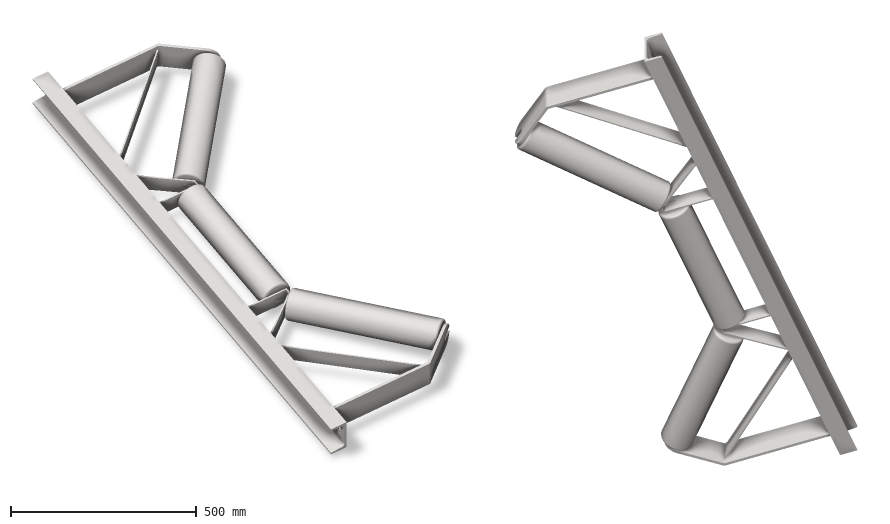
import cadquery as cq
import math

BEAM_LENGTH = 1500.0
BEAM_HEIGHT = 100.0
BEAM_DEPTH = 50.0
WEB = 6.0
FLANGE_ROOT = 10.0
FLANGE_TIP = 6.3
ROOT_RADIUS = 8.0
TIP_RADIUS = 3.8
SLOT_WIDTH = 18.0
SLOT_LENGTH = 33.0
SLOT_FROM_END = 30.0

ROLLER_DIAMETER = 90.0
ROLLER_LENGTH = 429.0
ROLLER_EDGE_RADIUS = 6.0
SHAFT = 18.0
SHAFT_STUB = 9.0
CENTRE_ROLLER_Y = 166.0
CENTRE_ROLLER_Z = 32.0

WING_ANGLE = 40.0
WING_TILT = 2.5
WING_X = 418.0
WING_Y = 320.0
WING_Z = 40.0

OUTER_PLATE = 8.2
OUTER_WIDTH = 82.0
OUTER_X = 684.0
OUTER_BEND_Y = 357.0
OUTER_ARM = 171.0
OUTER_BEND_RADIUS = 14.0
OUTER_CORNER_RADIUS = 36.0

INNER_PLATE = 5.0
INNER_WIDTH = 50.0
INNER_X = 220.0
INNER_TOP_Y = 194.0
INNER_TOP_X = 240.0
INNER_FOOT_X = 357.0

BRACE_PLATE = 4.0
BRACE_WIDTH = 50.0
BRACE_BOTTOM = 28.0
BRACE_HEAD_Y = 358.0
BRACE_FOOT_X = 393.0

MID_Z = BEAM_HEIGHT / 2

ARM_X = -math.sin(math.radians(WING_ANGLE))
ARM_Y = math.cos(math.radians(WING_ANGLE))


def prism(points, bottom, height):
    """Vertical prism on an XY outline."""
    return cq.Workplane("XY").workplane(offset=bottom).polyline(points).close().extrude(height)


def mirrored_pair(body):
    """The +X body and its mirror image on the -X side."""
    return [body.val(), body.mirror("YZ").val()]


def make_beam():
    """Channel with tapered flanges, swept along X."""
    section = [
        (0, 0),
        (0, FLANGE_TIP),
        (BEAM_DEPTH - WEB, FLANGE_ROOT),
        (BEAM_DEPTH - WEB, BEAM_HEIGHT - FLANGE_ROOT),
        (0, BEAM_HEIGHT - FLANGE_TIP),
        (0, BEAM_HEIGHT),
        (BEAM_DEPTH, BEAM_HEIGHT),
        (BEAM_DEPTH, 0),
    ]
    start = cq.Workplane("YZ", origin=(-BEAM_LENGTH / 2, 0, 0))
    beam = start.polyline(section).close().extrude(BEAM_LENGTH)
    for z in (FLANGE_ROOT, BEAM_HEIGHT - FLANGE_ROOT):
        beam = beam.edges(cq.NearestToPointSelector((0, BEAM_DEPTH - WEB, z))).fillet(ROOT_RADIUS)
    for z in (FLANGE_TIP, BEAM_HEIGHT - FLANGE_TIP):
        beam = beam.edges(cq.NearestToPointSelector((0, 0, z))).fillet(TIP_RADIUS)
    slot_x = BEAM_LENGTH / 2 - SLOT_FROM_END
    slots = (
        cq.Workplane("XZ")
        .pushPoints([(-slot_x, MID_Z), (slot_x, MID_Z)])
        .slot2D(SLOT_LENGTH, SLOT_WIDTH, 90)
        .extrude(-BEAM_DEPTH)
    )
    return beam.cut(slots)


def make_roller():
    """Roller along X, centred on the origin, with a square shaft stub at each end."""
    shell = (
        cq.Workplane("YZ", origin=(-ROLLER_LENGTH / 2, 0, 0))
        .circle(ROLLER_DIAMETER / 2)
        .extrude(ROLLER_LENGTH)
        .faces("<X or >X")
        .edges()
        .fillet(ROLLER_EDGE_RADIUS)
    )
    shaft = cq.Workplane("XY").box(ROLLER_LENGTH + 2 * SHAFT_STUB, SHAFT, SHAFT)
    return shell.union(shaft)


def at_centre(body):
    return body.translate((0, CENTRE_ROLLER_Y, CENTRE_ROLLER_Z))


def at_wing(body):
    """Move a body from the X axis to the +X side roller's axis, inner end lower."""
    tilted = body.rotate((0, 0, 0), (0, 1, 0), -WING_TILT)
    turned = tilted.rotate((0, 0, 0), (0, 0, 1), WING_ANGLE)
    return turned.translate((WING_X, WING_Y, WING_Z))


def shaft_passage():
    """Square passage for the shaft, running one stub length past each of its ends."""
    return cq.Workplane("XY").box(ROLLER_LENGTH + 4 * SHAFT_STUB, SHAFT, SHAFT)


def make_outer_bracket():
    """Bent strip with a rounded tip and an open slot that holds the shaft."""
    bend_shift = OUTER_PLATE * math.tan(math.radians(WING_ANGLE / 2))
    tip = (OUTER_X + OUTER_ARM * ARM_X, OUTER_BEND_Y + OUTER_ARM * ARM_Y)
    inner_tip = (tip[0] - OUTER_PLATE * ARM_Y, tip[1] + OUTER_PLATE * ARM_X)
    outline = [
        (OUTER_X, BEAM_DEPTH),
        (OUTER_X, OUTER_BEND_Y),
        tip,
        inner_tip,
        (OUTER_X - OUTER_PLATE, OUTER_BEND_Y - bend_shift),
        (OUTER_X - OUTER_PLATE, BEAM_DEPTH),
    ]
    bracket = prism(outline, MID_Z - OUTER_WIDTH / 2, OUTER_WIDTH)
    outer_bend = cq.NearestToPointSelector((OUTER_X, OUTER_BEND_Y, MID_Z))
    bracket = bracket.edges(outer_bend).fillet(OUTER_BEND_RADIUS)
    inner_bend = cq.NearestToPointSelector((OUTER_X - OUTER_PLATE, OUTER_BEND_Y - bend_shift, MID_Z))
    bracket = bracket.edges(inner_bend).fillet(OUTER_BEND_RADIUS - OUTER_PLATE)
    for z in (MID_Z - OUTER_WIDTH / 2, MID_Z + OUTER_WIDTH / 2):
        corner = ((tip[0] + inner_tip[0]) / 2, (tip[1] + inner_tip[1]) / 2, z)
        bracket = bracket.edges(cq.NearestToPointSelector(corner)).fillet(OUTER_CORNER_RADIUS)
    open_slot = cq.Workplane("XY").box(4 * SHAFT_STUB, OUTER_ARM, SHAFT)
    open_slot = open_slot.translate((ROLLER_LENGTH / 2 + SHAFT_STUB, (OUTER_ARM - SHAFT) / 2, 0))
    return bracket.cut(at_wing(open_slot))


def make_inner_bracket():
    """Bent strip holding the centre roller in its upright and the side roller in its leg."""
    leg_run = INNER_FOOT_X - INNER_TOP_X
    leg_rise = INNER_TOP_Y - BEAM_DEPTH
    leg_angle = math.atan2(leg_rise, leg_run)
    foot_width = INNER_PLATE / math.sin(leg_angle)
    under_x = INNER_TOP_X - foot_width + INNER_PLATE / math.tan(leg_angle)
    under_y = INNER_TOP_Y - INNER_PLATE
    outline = [
        (INNER_X, BEAM_DEPTH),
        (INNER_X, INNER_TOP_Y),
        (INNER_TOP_X, INNER_TOP_Y),
        (INNER_FOOT_X, BEAM_DEPTH),
        (INNER_FOOT_X - foot_width, BEAM_DEPTH),
        (under_x, under_y),
        (INNER_X + INNER_PLATE, under_y),
        (INNER_X + INNER_PLATE, BEAM_DEPTH),
    ]
    bracket = prism(outline, CENTRE_ROLLER_Z - INNER_WIDTH / 2, INNER_WIDTH)
    return bracket.cut(at_centre(shaft_passage())).cut(at_wing(shaft_passage()))


def make_brace():
    """Sloping flat bar, its head trimmed to fit against the inside of the outer bracket."""
    head_x = OUTER_X - OUTER_PLATE / 2
    angle = math.atan2(BRACE_HEAD_Y - BEAM_DEPTH, head_x - BRACE_FOOT_X)
    outline = [
        (BRACE_FOOT_X, BEAM_DEPTH),
        (head_x, BRACE_HEAD_Y),
        (head_x, BRACE_HEAD_Y - BRACE_PLATE / math.cos(angle)),
        (BRACE_FOOT_X + BRACE_PLATE / math.sin(angle), BEAM_DEPTH),
    ]
    return prism(outline, BRACE_BOTTOM, BRACE_WIDTH).cut(make_outer_bracket())


beam = make_beam()
centre_roller = at_centre(make_roller())
wing_rollers = mirrored_pair(at_wing(make_roller()))
outer_brackets = mirrored_pair(make_outer_bracket())
inner_brackets = mirrored_pair(make_inner_bracket())
braces = mirrored_pair(make_brace())

result = cq.Compound.makeCompound(
    [beam.val(), centre_roller.val(), *wing_rollers, *outer_brackets, *inner_brackets, *braces]
)